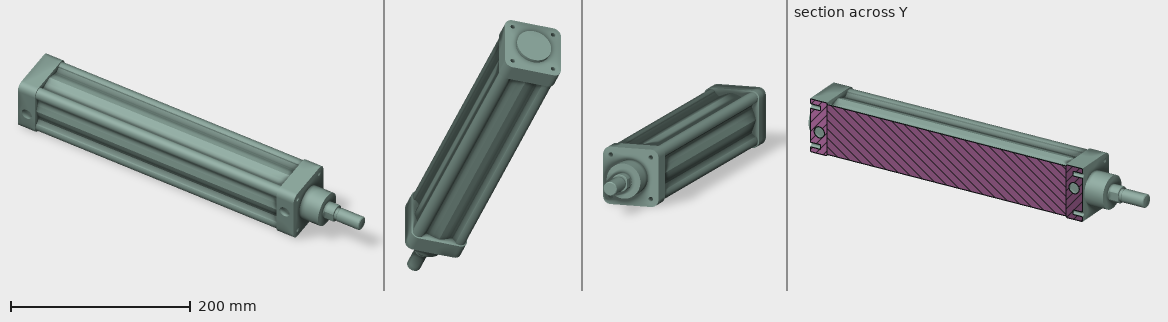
import cadquery as cq
import math

OVERALL_LENGTH = 429.0
BOSS_LENGTH = 4.5
CAP_LENGTH = 22.0
TUBE_LENGTH = 312.0
COLLAR_LENGTH = 24.0

REAR_CAP_START = BOSS_LENGTH
TUBE_START = REAR_CAP_START + CAP_LENGTH
FRONT_CAP_START = TUBE_START + TUBE_LENGTH
COLLAR_START = FRONT_CAP_START + CAP_LENGTH
ROD_START = COLLAR_START + COLLAR_LENGTH

CAP_SIZE = 65.0
CAP_CORNER_RADIUS = 8.5
COLLAR_DIAMETER = 40.0
SCREW_SPACING = 47.0
SCREW_HOLE_DIAMETER = 5.0
SCREW_HOLE_DEPTH = 13.0
PORT_DIAMETER = 13.0
PORT_DEPTH = 13.0
PORT_OFFSET = 6.0
PORT_SETBACK = 11.5

LOBE_CENTRE = 24.0
LOBE_RADIUS = 7.0
LOBE_HALF_GAP = 19.7
FLANK_HALF_WIDTH = 19.5
VALLEY_HALF_WIDTH = 15.5
VALLEY_HEIGHT = 24.0
FLOOR_HALF_WIDTH = 12.5
FLOOR_RISE = 0.5
SHOULDER_HALF_WIDTH = 7.5
SHOULDER_RISE = 2.5
RIDGE_RISE = 4.7

ROD_DIAMETER = 19.7
FLATS_WIDTH = 17.0
ROD_END_CHAMFER = 0.5
FLATS_SETBACK = 1.5
THREAD_DIAMETER = 16.0
THREAD_LENGTH = 29.0
THREAD_CHAMFER = 1.0
NECK_DIAMETER = 14.5
NECK_LENGTH = 3.0

THREAD_START = OVERALL_LENGTH - THREAD_LENGTH
NECK_START = THREAD_START - NECK_LENGTH


def plane_at(x):
    """Plane across the cylinder axis at x, with local X along +Y and local Y along +Z."""
    return cq.Workplane("YZ", origin=(x, 0, 0))


def rod_piece(diameter, start, length):
    return plane_at(start).circle(diameter / 2).extrude(length)


def make_cap(start, outer_face, inward, port_height):
    """Square cap with a port in its -Y side and four screw holes in its outer face."""
    block = plane_at(start).rect(CAP_SIZE, CAP_SIZE).extrude(CAP_LENGTH)
    block = block.edges("|X").fillet(CAP_CORNER_RADIUS)
    screw_holes = (
        plane_at(outer_face)
        .rect(SCREW_SPACING, SCREW_SPACING, forConstruction=True)
        .vertices()
        .circle(SCREW_HOLE_DIAMETER / 2)
        .extrude(inward * SCREW_HOLE_DEPTH)
    )
    port = (
        cq.Workplane("XZ", origin=(outer_face + inward * PORT_SETBACK, -CAP_SIZE / 2, port_height))
        .circle(PORT_DIAMETER / 2)
        .extrude(-PORT_DEPTH)
    )
    return block.cut(screw_holes).cut(port)


def make_rear_cap():
    cap = make_cap(REAR_CAP_START, REAR_CAP_START, 1, -PORT_OFFSET)
    return cap.union(rod_piece(COLLAR_DIAMETER, 0, BOSS_LENGTH))


def make_front_cap():
    cap = make_cap(FRONT_CAP_START, COLLAR_START, -1, PORT_OFFSET)
    return cap.union(rod_piece(COLLAR_DIAMETER, COLLAR_START, COLLAR_LENGTH))


def turned(point, quarter):
    """Point turned clockwise by whole quarter turns about the axis."""
    across, up = point
    for _ in range(quarter):
        across, up = up, -across
    return across, up


def make_tube():
    """Solid extruded profile: four ridged sides joined by a round lobe at each corner."""
    lobe_end_reach = math.sqrt(LOBE_RADIUS**2 - (LOBE_CENTRE - LOBE_HALF_GAP) ** 2)
    lobe_entry = (LOBE_HALF_GAP, LOBE_CENTRE + lobe_end_reach)
    lobe_exit = (LOBE_CENTRE + lobe_end_reach, LOBE_HALF_GAP)
    lobe_peak = (LOBE_CENTRE + LOBE_RADIUS / math.sqrt(2),) * 2
    flank_top = (FLANK_HALF_WIDTH, VALLEY_HEIGHT + FLANK_HALF_WIDTH - VALLEY_HALF_WIDTH)
    half_side = [
        (SHOULDER_HALF_WIDTH, VALLEY_HEIGHT + SHOULDER_RISE),
        (FLOOR_HALF_WIDTH, VALLEY_HEIGHT + FLOOR_RISE),
        (VALLEY_HALF_WIDTH, VALLEY_HEIGHT),
        flank_top,
    ]
    mirrored_half = [(-across, up) for across, up in reversed(half_side)]
    side = mirrored_half + [(0, VALLEY_HEIGHT + RIDGE_RISE)] + half_side + [lobe_entry]

    profile = plane_at(TUBE_START).moveTo(*turned(lobe_exit, 3))
    for quarter in range(4):
        for point in side:
            profile = profile.lineTo(*turned(point, quarter))
        profile = profile.threePointArc(turned(lobe_peak, quarter), turned(lobe_exit, quarter))
    return profile.close().extrude(TUBE_LENGTH)


def make_rod():
    """Rod end with wrench flats on its -Y and +Y sides, a neck and a chamfered thread."""
    flats_length = NECK_START - ROD_START - FLATS_SETBACK
    body = rod_piece(ROD_DIAMETER, ROD_START, NECK_START - ROD_START).faces(">X").chamfer(ROD_END_CHAMFER)
    flat_depth = (ROD_DIAMETER - FLATS_WIDTH) / 2
    for side in (-1, 1):
        flat_centre = side * (ROD_DIAMETER - flat_depth) / 2
        flat_cut = (
            plane_at(ROD_START + FLATS_SETBACK)
            .center(flat_centre, 0)
            .rect(flat_depth, ROD_DIAMETER)
            .extrude(flats_length)
        )
        body = body.cut(flat_cut)
    neck = rod_piece(NECK_DIAMETER, NECK_START, NECK_LENGTH)
    thread = rod_piece(THREAD_DIAMETER, THREAD_START, THREAD_LENGTH).faces("<X or >X").chamfer(THREAD_CHAMFER)
    return body.union(neck).union(thread)


rear_cap = make_rear_cap()
tube = make_tube()
front_cap = make_front_cap()
rod = make_rod()

result = cq.Compound.makeCompound([rear_cap.val(), tube.val(), front_cap.val(), rod.val()])